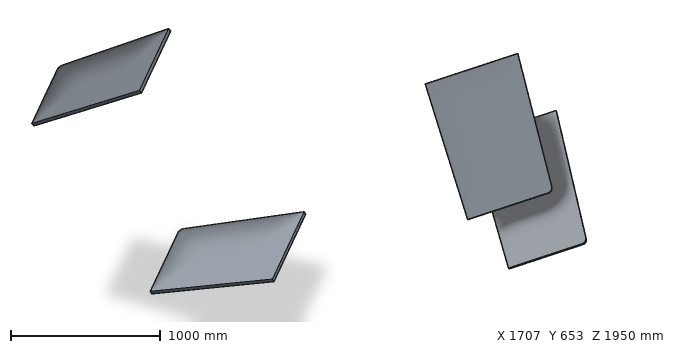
import cadquery as cq
import math

overall_length = 1707.0
overall_height = 1950.0

panel_length = 957.0
panel_thickness = 25.0
corner_radius = 35.0

upper_tilt = 37.5
upper_low_width = 554.0
upper_high_width = 600.0

lower_tilt = 25.8
lower_low_width = 602.0
lower_high_width = 653.0


def make_panel(low_width, high_width):
    """Flat tapered panel, low end on X = 0, underside on Z = 0, one rounded low corner."""
    blank = (
        cq.Workplane("XY")
        .polyline([(0, 0), (panel_length, 0), (panel_length, high_width), (0, low_width)])
        .close()
        .extrude(panel_thickness)
    )
    return blank.edges("|Z").edges("<X").edges(">Y").fillet(corner_radius)


def place_panel(panel, tilt, low_x, low_z):
    """Raise the panel's +X end by the tilt, with its lowest edge at (low_x, low_z)."""
    return panel.rotate((0, 0, 0), (0, 1, 0), -tilt).translate((low_x, 0, low_z))


upper_angle = math.radians(upper_tilt)
upper_rise = panel_length * math.sin(upper_angle) + panel_thickness * math.cos(upper_angle)
upper_panel = place_panel(
    make_panel(upper_low_width, upper_high_width),
    upper_tilt,
    panel_thickness * math.sin(upper_angle),
    overall_height - upper_rise,
)

lower_run = panel_length * math.cos(math.radians(lower_tilt))
lower_panel = place_panel(
    make_panel(lower_low_width, lower_high_width),
    lower_tilt,
    overall_length - lower_run,
    0,
)

result = cq.Compound.makeCompound([upper_panel.val(), lower_panel.val()])